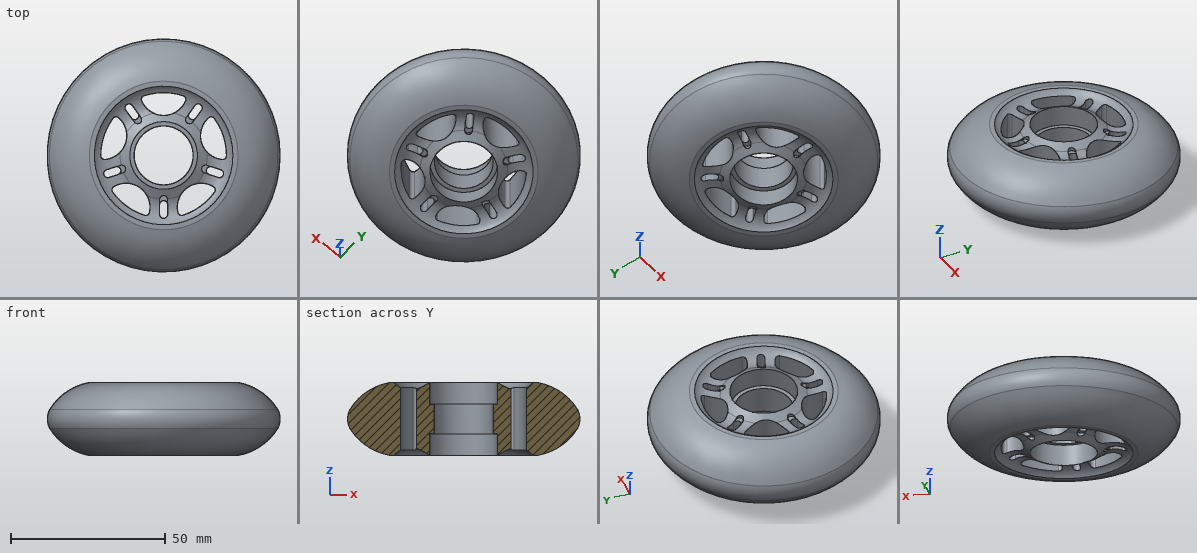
import cadquery as cq
import math

wheel_radius = 37.8
half_width = 23.7 / 2

tread_radius = 6.4
tread_half_width = 3.1
sidewall_radius = 19.25
sidewall_inner_radius = 24.1

rim_inner_radius = 22.4
seat_radius = 10.95
seat_depth = 7.0
bore_radius = 9.5
cone_outer_radius = 14.1
cone_drop = 1.7
dish_radius = 6.7

opening_count = 5
opening_pitch = 360 / opening_count
opening_inner_radius = 13.0
opening_outer_radius = 20.3
window_inner_arc_radius = 7.7
window_corner_radius = 1.1

slot_width = 2.6
slot_through_inner_radius = 14.65
slot_step_z = 9.6
first_slot_angle = -90.0
first_window_angle = first_slot_angle + opening_pitch / 2


def polar_copies(shape, first_angle):
    """Move a shape laid out along +X to every opening position around Z."""
    copies = cq.Workplane("XY")
    for index in range(opening_count):
        copies = copies.add(shape.rotate((0, 0, 0), (0, 0, 1), first_angle + index * opening_pitch))
    return copies.combine()


def wheel_body():
    """Revolve the full section, from the lower seat floor around the tyre to the upper one."""
    tread_drop = tread_radius - math.sqrt(tread_radius**2 - tread_half_width**2)
    tread_edge_radius = wheel_radius - tread_drop
    cone_outer_z = half_width - cone_drop
    seat_floor_z = half_width - seat_depth
    return (
        cq.Workplane("XZ")
        .moveTo(bore_radius, -seat_floor_z)
        .lineTo(seat_radius, -seat_floor_z)
        .lineTo(seat_radius, -half_width)
        .lineTo(cone_outer_radius, -cone_outer_z)
        .radiusArc((rim_inner_radius, -half_width), dish_radius)
        .lineTo(sidewall_inner_radius, -half_width)
        .radiusArc((tread_edge_radius, -tread_half_width), -sidewall_radius)
        .threePointArc((wheel_radius, 0), (tread_edge_radius, tread_half_width))
        .radiusArc((sidewall_inner_radius, half_width), -sidewall_radius)
        .lineTo(rim_inner_radius, half_width)
        .radiusArc((cone_outer_radius, cone_outer_z), dish_radius)
        .lineTo(seat_radius, half_width)
        .lineTo(seat_radius, seat_floor_z)
        .lineTo(bore_radius, seat_floor_z)
        .close()
        .revolve(360, (0, 0, 0), (0, 1, 0))
    )


def window():
    """Opening bounded by a hub-side circle and an arc concentric with the wheel."""
    circle_center = opening_inner_radius + window_inner_arc_radius
    hub_side = (
        cq.Workplane("XY")
        .center(circle_center, 0)
        .circle(window_inner_arc_radius)
        .extrude(half_width, both=True)
    )
    rim_side = cq.Workplane("XY").circle(opening_outer_radius).extrude(half_width, both=True)
    return hub_side.intersect(rim_side).edges("|Z").edges(">Y or <Y").fillet(window_corner_radius)


def radial_slot(inner_radius, bottom_z, top_z):
    """Round-ended slot along +X, from inner_radius to the outer radius of the openings."""
    return (
        cq.Workplane("XY", origin=((inner_radius + opening_outer_radius) / 2, 0, bottom_z))
        .slot2D(opening_outer_radius - inner_radius, slot_width)
        .extrude(top_z - bottom_z)
    )


def stepped_slot():
    """Through slot joined to a longer shallow slot on each face."""
    through = radial_slot(slot_through_inner_radius, -half_width, half_width)
    upper_step = radial_slot(opening_inner_radius, slot_step_z, half_width)
    return through.union(upper_step).union(upper_step.mirror("XY"))


result = (
    wheel_body()
    .cut(polar_copies(window(), first_window_angle))
    .cut(polar_copies(stepped_slot(), first_slot_angle))
)